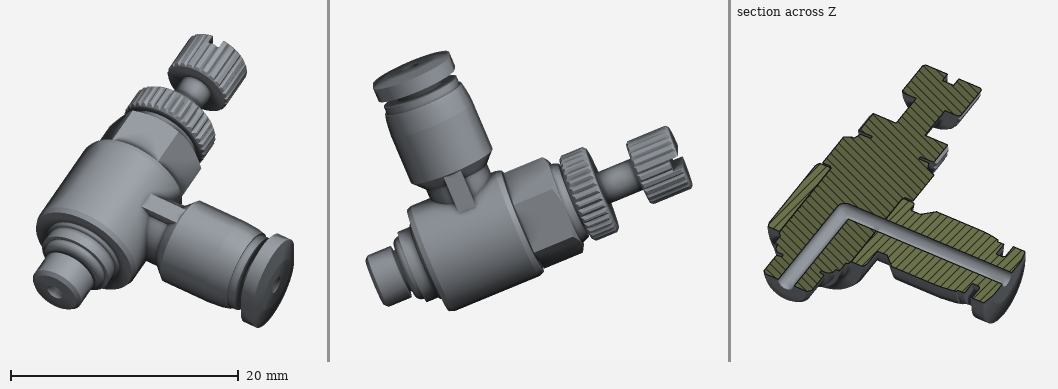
import cadquery as cq
import math


BORE_R = 3.6
PASSAGE_R = 0.8

SLEEVE_R = 5.0
SLEEVE_TOP_Y = 3.8
SLEEVE_BOTTOM_Y = -5.18
SLEEVE_CHAMFER_LENGTH = 0.47
SLEEVE_CHAMFER_DEPTH = 0.17

ARM_NECK_R = 2.9
ARM_CONE_START_X = 5.97
ARM_BODY_R = 3.9
ARM_BODY_START_X = 7.0
ARM_TAPER_START_X = 11.52
ARM_TAPER_END_X = 13.47
ARM_TAPER_DROP = 0.25
COLLET_RING_R = 3.45
COLLET_RING_END_X = 14.17
COLLET_NECK_R = 2.1
COLLET_FLARE_R = 2.25
COLLET_FLARE_START_X = 14.78

BUTTON_START_X = 15.0
BUTTON_RIM_X = 16.25
BUTTON_END_X = 16.5
BUTTON_END_R = 2.42
BUTTON_ROUND_R = 3.65
BUTTON_FLAT = 1.98

RIB_WIDTH = 1.6
RIB_HALF_HEIGHT = 3.72

TIP_Y = -10.27
TIP_R = 2.45
TIP_CHAMFER = 0.32
TIP_TOP_Y = -7.77
UNDERCUT_R = 1.95
UNDERCUT_START_Y = -7.68
SEAL_BOTTOM_Y = -7.45
SEAL_R = 2.97
SEAL_ROUND = 0.65
COLLAR_BOTTOM_Y = -6.7
COLLAR_R = 3.35
COLLAR_TOP_Y = -5.55
LIP_ROUND = BORE_R - COLLAR_R
HEX_SEAT_R = 3.78
HEX_BOTTOM_Y = 3.93
HEX_TOP_Y = 7.97
HEX_FLATS = 8.0
HEX_CHAMFER_ANGLE = 30
SHOULDER_BASE_R = 3.75
SHOULDER_TOP_R = 3.5
SHOULDER_TOP_Y = 8.67
NUT_NECK_R = 2.47
NUT_BOTTOM_Y = 8.9
NUT_TOP_Y = 11.4
NUT_R = 4.05
NUT_CHAMFER = 0.25
NUT_TEETH = 34
NUT_GROOVE_WIDTH = 0.55
NUT_GROOVE_DEPTH = 0.23
SPINDLE_R = 1.48
KNOB_BOTTOM_Y = 14.85
KNOB_TOP_Y = 18.83
KNOB_R = 3.0
KNOB_CHAMFER = 0.2
KNOB_TEETH = 24
KNOB_GROOVE_WIDTH = 0.4
KNOB_GROOVE_DEPTH = 0.17
SLOT_WIDTH = 1.1
SLOT_DEPTH = 0.9


def disc_along_y(radius, y_start, y_end):
    """Cylinder around the Y axis."""
    return cq.Workplane(cq.Solid.makeCylinder(
        radius, y_end - y_start, cq.Vector(0, y_start, 0), cq.Vector(0, 1, 0)))


def rod_along_x(radius, x_start, x_end):
    """Cylinder around the X axis."""
    return cq.Workplane(cq.Solid.makeCylinder(
        radius, x_end - x_start, cq.Vector(x_start, 0, 0), cq.Vector(1, 0, 0)))


def air_passage():
    """Round passage that enters at the stem tip and turns along the arm through a ball corner."""
    inlet = disc_along_y(PASSAGE_R, TIP_Y, 0)
    outlet = rod_along_x(PASSAGE_R, 0, BUTTON_END_X)
    corner = cq.Workplane("XY").sphere(PASSAGE_R)
    return inlet.union(outlet).union(corner)


def sleeve():
    inner_r = SLEEVE_R - SLEEVE_CHAMFER_DEPTH
    return (
        cq.Workplane("XY")
        .moveTo(0, SLEEVE_BOTTOM_Y)
        .lineTo(inner_r, SLEEVE_BOTTOM_Y)
        .lineTo(SLEEVE_R, SLEEVE_BOTTOM_Y + SLEEVE_CHAMFER_LENGTH)
        .lineTo(SLEEVE_R, SLEEVE_TOP_Y - SLEEVE_CHAMFER_LENGTH)
        .lineTo(inner_r, SLEEVE_TOP_Y)
        .lineTo(0, SLEEVE_TOP_Y)
        .close()
        .revolve(360, (0, 0, 0), (0, 1, 0))
    )


def arm():
    """Turned arm up to the button; the taper is an arc tangent to the arm body."""
    taper_end_r = ARM_BODY_R - ARM_TAPER_DROP
    return (
        cq.Workplane("XY")
        .lineTo(0, ARM_NECK_R)
        .lineTo(ARM_CONE_START_X, ARM_NECK_R)
        .lineTo(ARM_BODY_START_X, ARM_BODY_R)
        .lineTo(ARM_TAPER_START_X, ARM_BODY_R)
        .tangentArcPoint((ARM_TAPER_END_X, taper_end_r), relative=False)
        .lineTo(ARM_TAPER_END_X, COLLET_RING_R)
        .lineTo(COLLET_RING_END_X, COLLET_RING_R)
        .lineTo(COLLET_RING_END_X, COLLET_NECK_R)
        .lineTo(COLLET_FLARE_START_X, COLLET_NECK_R)
        .lineTo(BUTTON_START_X, COLLET_FLARE_R)
        .lineTo(BUTTON_START_X, 0)
        .close()
        .revolve(360, (0, 0, 0), (1, 0, 0))
    )


def release_button():
    """Plate with two round ends, domed by a straight loft to a round end face."""
    outline_length = BUTTON_FLAT + 2 * BUTTON_ROUND_R
    plate = (
        cq.Workplane("YZ", origin=(BUTTON_START_X, 0, 0))
        .slot2D(outline_length, 2 * BUTTON_ROUND_R, 90)
        .extrude(BUTTON_RIM_X - BUTTON_START_X)
    )
    dome = (
        cq.Workplane("YZ", origin=(BUTTON_RIM_X, 0, 0))
        .slot2D(outline_length, 2 * BUTTON_ROUND_R, 90)
        .workplane(offset=BUTTON_END_X - BUTTON_RIM_X)
        .circle(BUTTON_END_R)
        .loft(ruled=True)
    )
    return plate.union(dome)


def ribs():
    """One plate through the arm neck, standing out above and below it and ending inside the arm cone."""
    return cq.Workplane("XY").box(
        ARM_BODY_START_X, RIB_WIDTH, 2 * RIB_HALF_HEIGHT, centered=(False, True, True)
    )


def make_elbow():
    bore = disc_along_y(BORE_R, SLEEVE_BOTTOM_Y, SLEEVE_TOP_Y)
    outside = sleeve().union(arm()).union(release_button()).union(ribs())
    return outside.cut(bore).cut(air_passage())


def lower_stem():
    """Tip, undercut, rounded seal, collar, lip and the barrel inside the elbow."""
    diagonal = math.sqrt(0.5)
    seal_round_r = SEAL_R - SEAL_ROUND
    seal_round_y = SEAL_BOTTOM_Y + SEAL_ROUND
    lip_round_y = COLLAR_TOP_Y + LIP_ROUND
    return (
        cq.Workplane("XY")
        .moveTo(0, TIP_Y)
        .lineTo(TIP_R - TIP_CHAMFER, TIP_Y)
        .lineTo(TIP_R, TIP_Y + TIP_CHAMFER)
        .lineTo(TIP_R, TIP_TOP_Y)
        .lineTo(UNDERCUT_R, UNDERCUT_START_Y)
        .lineTo(UNDERCUT_R, SEAL_BOTTOM_Y)
        .lineTo(seal_round_r, SEAL_BOTTOM_Y)
        .threePointArc(
            (seal_round_r + SEAL_ROUND * diagonal, seal_round_y - SEAL_ROUND * diagonal),
            (SEAL_R, seal_round_y))
        .lineTo(SEAL_R, COLLAR_BOTTOM_Y)
        .lineTo(COLLAR_R, COLLAR_BOTTOM_Y)
        .lineTo(COLLAR_R, COLLAR_TOP_Y)
        .threePointArc(
            (COLLAR_R + LIP_ROUND * diagonal, lip_round_y - LIP_ROUND * diagonal),
            (BORE_R, lip_round_y))
        .lineTo(BORE_R, SLEEVE_TOP_Y)
        .lineTo(0, SLEEVE_TOP_Y)
        .close()
        .revolve(360, (0, 0, 0), (0, 1, 0))
    )


def hexagon():
    """Wrench hexagon with flats facing up and down, its upper corners cut by a cone."""
    corner_r = HEX_FLATS / 2 / math.cos(math.radians(30))
    height = HEX_TOP_Y - HEX_BOTTOM_Y
    prism = (
        cq.Workplane("ZX", origin=(0, HEX_BOTTOM_Y, 0))
        .transformed(rotate=(0, 0, 90))
        .polygon(6, 2 * corner_r)
        .extrude(height)
    )
    chamfer_drop = (corner_r - HEX_FLATS / 2) * math.tan(math.radians(HEX_CHAMFER_ANGLE))
    limit = (
        cq.Workplane("XY")
        .moveTo(0, HEX_BOTTOM_Y)
        .lineTo(corner_r, HEX_BOTTOM_Y)
        .lineTo(corner_r, HEX_TOP_Y - chamfer_drop)
        .lineTo(HEX_FLATS / 2, HEX_TOP_Y)
        .lineTo(0, HEX_TOP_Y)
        .close()
        .revolve(360, (0, 0, 0), (0, 1, 0))
    )
    return prism.intersect(limit)


def shoulder():
    """Shallow cone on top of the hexagon."""
    return cq.Workplane(cq.Solid.makeCone(
        SHOULDER_BASE_R, SHOULDER_TOP_R, SHOULDER_TOP_Y - HEX_TOP_Y,
        cq.Vector(0, HEX_TOP_Y, 0), cq.Vector(0, 1, 0)))


def serrated_disc(radius, y_start, y_end, chamfer, teeth, groove_width, groove_depth):
    """Chamfered disc with V grooves along its rim; one tooth is centred on +Z."""
    pitch = 360 / teeth
    outer_half_angle = math.degrees(math.asin(groove_width / 2 / radius))
    points = []
    for tooth in range(teeth):
        middle = (tooth + 0.5) * pitch
        groove = (
            (radius, middle - outer_half_angle),
            (radius - groove_depth, middle),
            (radius, middle + outer_half_angle),
        )
        for distance, angle in groove:
            turn = math.radians(angle)
            points.append((distance * math.cos(turn), distance * math.sin(turn)))
    toothed = cq.Workplane("ZX", origin=(0, y_start, 0)).polyline(points).close().extrude(y_end - y_start)
    limit = disc_along_y(radius, y_start, y_end).edges("%CIRCLE").chamfer(chamfer)
    return toothed.intersect(limit)


def lock_nut():
    return serrated_disc(
        NUT_R, NUT_BOTTOM_Y, NUT_TOP_Y, NUT_CHAMFER, NUT_TEETH, NUT_GROOVE_WIDTH, NUT_GROOVE_DEPTH)


def knob():
    """Serrated knob with a screwdriver slot across its end."""
    body = serrated_disc(
        KNOB_R, KNOB_BOTTOM_Y, KNOB_TOP_Y, KNOB_CHAMFER, KNOB_TEETH,
        KNOB_GROOVE_WIDTH, KNOB_GROOVE_DEPTH)
    slot = cq.Workplane("XY", origin=(0, KNOB_TOP_Y - SLOT_DEPTH / 2, 0)).box(
        SLOT_WIDTH, SLOT_DEPTH, 2 * KNOB_R)
    return body.cut(slot)


def make_stem():
    parts = (
        disc_along_y(HEX_SEAT_R, SLEEVE_TOP_Y, HEX_BOTTOM_Y),
        hexagon(),
        shoulder(),
        disc_along_y(NUT_NECK_R, SHOULDER_TOP_Y, NUT_BOTTOM_Y),
        lock_nut(),
        disc_along_y(SPINDLE_R, NUT_TOP_Y, KNOB_BOTTOM_Y),
        knob(),
    )
    stem = lower_stem()
    for part in parts:
        stem = stem.union(part)
    return stem.cut(air_passage())


elbow = make_elbow()
stem = make_stem()
result = cq.Compound.makeCompound([elbow.solids().val(), stem.solids().val()])